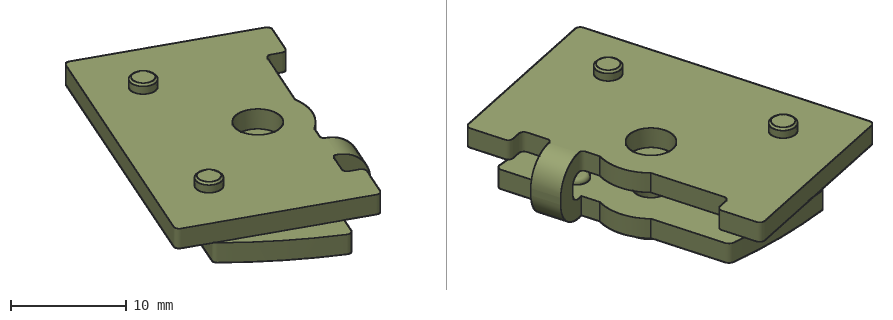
import cadquery as cq
import math

thickness = 2.0
total_height = 9.3
pin_height = 1.0
upper_top = total_height - pin_height
upper_bottom = upper_top - thickness
boss_height = 1.6
lower_bottom = boss_height
lower_top = lower_bottom + thickness
corner_radius = 0.5

bore_y = 12.63
lobe_radius = 5.0

width = 30.0
tab_back = 18.9
notch_back = 16.92
notch_half_width = 10.47
bore_diameter = 4.4

pin_diameter = 2.52
pin_spacing = 17.7
pin_y = 5.15
pin_chamfer = 0.2

strap_left = 4.45
strap_width = 3.03
strap_right = strap_left + strap_width
inner_bend_radius = 1.0
outer_bend_radius = inner_bend_radius + thickness
overall_depth = 20.4
bend_y = overall_depth - outer_bend_radius
strap_root_fillet = 0.4

lower_front = 4.92
lower_back = notch_back
lower_left = -13.0
lower_right = 13.1
side_lean = 2.43
side_bow = 0.4
back_left_radius = 0.65

button_diameter = 2.52
button_height = 0.48
button_rounding = 0.42
button_points = [(-7.23, 7.15), (6.42, 14.58)]
boss_diameter = 5.45
boss_bore_diameter = 3.3
boss_root_fillet = 0.5


def cylinder(x, y, bottom, diameter, height):
    """Upright cylinder standing on the given level."""
    return cq.Workplane("XY", origin=(x, y, bottom)).circle(diameter / 2).extrude(height)


def round_vertical_edges(plate, points, radius):
    """Round the vertical edges nearest to the given plan positions."""
    level = plate.val().Center().z
    for x, y in points:
        nearest = cq.selectors.NearestToPointSelector((x, y, level))
        plate = plate.edges("|Z").edges(nearest).fillet(radius)
    return plate


def make_upper_plate():
    half_width = width / 2
    lobe_half_width = math.sqrt(lobe_radius**2 - (notch_back - bore_y) ** 2)
    plate = (
        cq.Workplane("XY", origin=(0, 0, upper_bottom))
        .moveTo(-half_width, 0)
        .lineTo(half_width, 0)
        .lineTo(half_width, tab_back)
        .lineTo(notch_half_width, tab_back)
        .lineTo(notch_half_width, notch_back)
        .lineTo(strap_right, notch_back)
        .lineTo(strap_right, bend_y)
        .lineTo(strap_left, bend_y)
        .lineTo(strap_left, notch_back)
        .lineTo(lobe_half_width, notch_back)
        .threePointArc((0, bore_y + lobe_radius), (-lobe_half_width, notch_back))
        .lineTo(-notch_half_width, notch_back)
        .lineTo(-notch_half_width, tab_back)
        .lineTo(-half_width, tab_back)
        .close()
        .extrude(thickness)
    )
    corners = []
    for side in (-1, 1):
        corners.append((side * half_width, 0))
        corners.append((side * half_width, tab_back))
        corners.append((side * notch_half_width, tab_back))
        corners.append((side * notch_half_width, notch_back))
    plate = round_vertical_edges(plate, corners, corner_radius)
    strap_roots = [(strap_left, notch_back), (strap_right, notch_back)]
    plate = round_vertical_edges(plate, strap_roots, strap_root_fillet)
    return plate.cut(cylinder(0, bore_y, upper_bottom, bore_diameter, thickness))


def make_pins():
    pins = cq.Workplane("XY")
    for x in (-pin_spacing / 2, pin_spacing / 2):
        pin = cylinder(x, pin_y, upper_top, pin_diameter, pin_height)
        pins = pins.add(pin.faces(">Z").chamfer(pin_chamfer))
    return pins.combine()


def make_lower_plate():
    front_right = lower_right - side_lean
    back_left = lower_left + side_lean
    middle_y = (lower_front + lower_back) / 2
    left_middle = (lower_left + back_left) / 2 - side_bow
    right_middle = (lower_right + front_right) / 2 + side_bow
    plate = (
        cq.Workplane("XY", origin=(0, 0, lower_bottom))
        .moveTo(lower_left, lower_front)
        .lineTo(front_right, lower_front)
        .threePointArc((right_middle, middle_y), (lower_right, lower_back))
        .lineTo(back_left, lower_back)
        .threePointArc((left_middle, middle_y), (lower_left, lower_front))
        .close()
        .extrude(thickness)
    )
    small_corners = [
        (lower_left, lower_front),
        (front_right, lower_front),
        (lower_right, lower_back),
    ]
    plate = round_vertical_edges(plate, small_corners, corner_radius)
    plate = round_vertical_edges(plate, [(back_left, lower_back)], back_left_radius)
    return plate.union(cylinder(0, bore_y, lower_bottom, 2 * lobe_radius, thickness))


def add_boss(plate):
    plate = plate.union(cylinder(0, bore_y, 0, boss_diameter, boss_height))
    root = cq.selectors.NearestToPointSelector((0, bore_y, lower_bottom))
    plate = plate.edges(root).fillet(boss_root_fillet)
    return plate.cut(cylinder(0, bore_y, 0, boss_bore_diameter, lower_top))


def make_buttons():
    buttons = cq.Workplane("XY")
    for x, y in button_points:
        button = cylinder(x, y, lower_top, button_diameter, button_height)
        buttons = buttons.add(button.faces(">Z").fillet(button_rounding))
    return buttons.combine()


def make_strap():
    return (
        cq.Workplane("YZ", origin=(strap_left, 0, 0))
        .moveTo(notch_back, lower_bottom)
        .lineTo(bend_y, lower_bottom)
        .radiusArc((overall_depth, lower_bottom + outer_bend_radius), -outer_bend_radius)
        .lineTo(overall_depth, upper_top - outer_bend_radius)
        .radiusArc((bend_y, upper_top), -outer_bend_radius)
        .lineTo(notch_back, upper_top)
        .lineTo(notch_back, upper_bottom)
        .lineTo(bend_y, upper_bottom)
        .radiusArc((bend_y + inner_bend_radius, upper_bottom - inner_bend_radius), inner_bend_radius)
        .lineTo(bend_y + inner_bend_radius, lower_top + inner_bend_radius)
        .radiusArc((bend_y, lower_top), inner_bend_radius)
        .lineTo(notch_back, lower_top)
        .close()
        .extrude(strap_width)
    )


upper = make_upper_plate().union(make_pins())
lower = add_boss(make_lower_plate()).union(make_buttons())
result = upper.union(lower).union(make_strap())